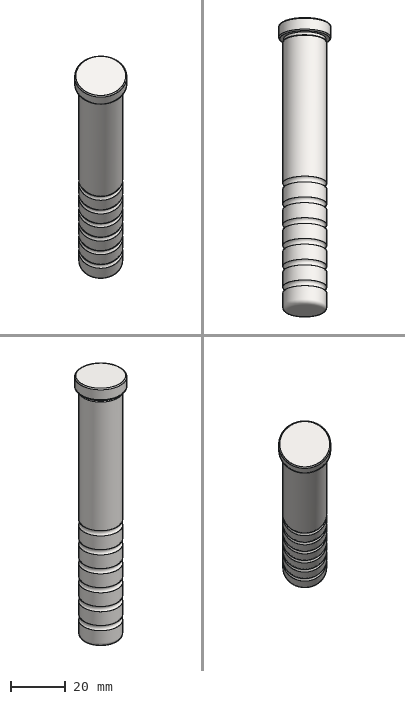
import cadquery as cq

length = 110.0
body_radius = 8.0

head_diameter = 19.0
head_radius = head_diameter / 2
head_height = 5.1
head_chamfer = 0.4
neck_radius = 7.7
neck_height = 1.1
shoulder_chamfer = 0.3

groove_count = 6
groove_depth = 0.7
groove_width = 2.2
lowest_groove = 8.0
highest_groove = 48.1

end_fillet = 1.5


def cylinder(radius, bottom, top):
    return cq.Workplane("XY").workplane(offset=bottom).circle(radius).extrude(top - bottom)


def groove_cutter(center_height):
    """Ring with a concave circular-arc floor, overlapping the outside of the body."""
    half_width = groove_width / 2
    outer_radius = head_radius
    return (
        cq.Workplane("XZ")
        .moveTo(outer_radius, center_height - half_width)
        .lineTo(body_radius, center_height - half_width)
        .threePointArc(
            (body_radius - groove_depth, center_height),
            (body_radius, center_height + half_width),
        )
        .lineTo(outer_radius, center_height + half_width)
        .close()
        .revolve(360, (0, 0, 0), (0, 1, 0))
    )


head_bottom = length - head_height
shoulder = head_bottom - neck_height

body = cylinder(body_radius, 0, shoulder)
body = body.faces("<Z").edges().fillet(end_fillet)
body = body.faces(">Z").edges().chamfer(shoulder_chamfer)

groove_pitch = (highest_groove - lowest_groove) / (groove_count - 1)
for index in range(groove_count):
    body = body.cut(groove_cutter(lowest_groove + index * groove_pitch))

neck = cylinder(neck_radius, shoulder, head_bottom)
head = cylinder(head_radius, head_bottom, length).edges().chamfer(head_chamfer)

result = body.union(neck).union(head)